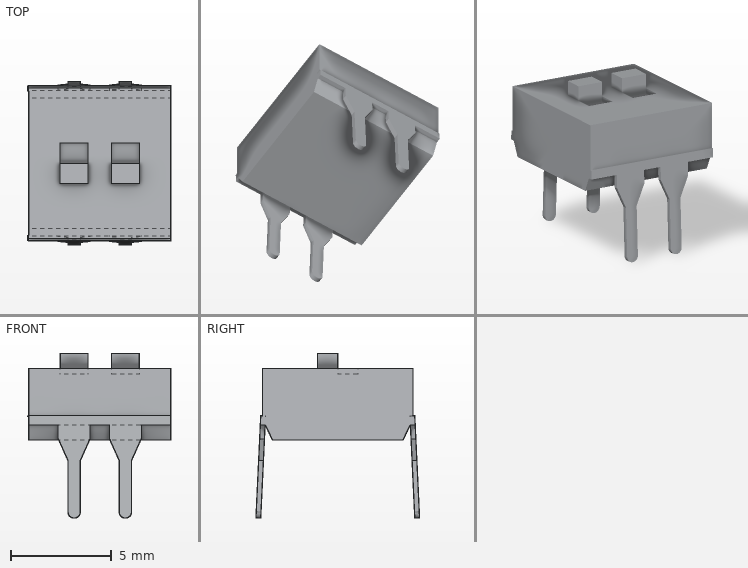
import cadquery as cq
import math


overall_depth = 8.13
pitch = 2.54
switch_count = 2

housing_width = 7.06
housing_depth = 7.47
housing_height = 3.55
floor_depth = 6.48
bevel_height = 1.03

slot_width = 1.38
slot_length = 2.03
slot_depth = 0.27
knob_length = slot_length / 2
knob_rise = 0.75

sheet_thickness = 0.25
lean_angle = 2.7
frame_length = 5.08
frame_top_z = 1.21
strip_height = 0.46
burr_reach = 0.05
burr_height = 0.02
shoulder_drop = 1.15
taper_drop = 2.22
shoulder_width = 1.58
pin_width = 0.62
frame_top_y = overall_depth / 2 - frame_length * math.sin(math.radians(lean_angle))

row_start = -pitch * (switch_count - 1) / 2
row_positions = [row_start + pitch * i for i in range(switch_count)]


def block(x_centre, y_min, z_min, width, depth, height):
    """Box centred in X, growing in +Y and +Z from its lower front edge."""
    return cq.Workplane("XY").box(width, depth, height, centered=(True, False, False)).translate(
        (x_centre, y_min, z_min)
    )


def make_housing():
    """Rectangular body with a bevel along both lower long edges."""
    half_depth = housing_depth / 2
    half_floor = floor_depth / 2
    section = (
        cq.Workplane("YZ")
        .moveTo(-half_floor, 0)
        .lineTo(half_floor, 0)
        .lineTo(half_depth, bevel_height)
        .lineTo(half_depth, housing_height)
        .lineTo(-half_depth, housing_height)
        .lineTo(-half_depth, bevel_height)
        .close()
    )
    return section.extrude(housing_width / 2, both=True)


def make_slot(x):
    """Shallow pocket in the housing top."""
    return block(x, -slot_length / 2, housing_height - slot_depth, slot_width, slot_length, slot_depth)


def make_knob(x):
    """Slide actuator standing on the slot floor."""
    floor_z = housing_height - slot_depth
    return block(x, -slot_length / 2, floor_z, slot_width, knob_length, slot_depth + knob_rise)


def make_pin(x):
    """Upright terminal hanging from the frame top: shoulder, taper and round-ended pin."""
    half_shoulder = shoulder_width / 2
    half_pin = pin_width / 2
    tip_start = frame_length - half_pin
    outline = (
        cq.Workplane("XZ")
        .moveTo(x - half_shoulder, 0)
        .lineTo(x - half_shoulder, -shoulder_drop)
        .lineTo(x - half_pin, -taper_drop)
        .lineTo(x - half_pin, -tip_start)
        .threePointArc((x, -frame_length), (x + half_pin, -tip_start))
        .lineTo(x + half_pin, -taper_drop)
        .lineTo(x + half_shoulder, -shoulder_drop)
        .lineTo(x + half_shoulder, 0)
        .close()
    )
    return outline.extrude(-sheet_thickness)


def make_burr():
    """Thin pointed corner at the top of the strip's -X end."""
    strip_end = -housing_width / 2
    outline = (
        cq.Workplane("XZ")
        .moveTo(strip_end, 0)
        .lineTo(strip_end - burr_reach, -burr_height)
        .lineTo(strip_end, -burr_height)
        .close()
    )
    return outline.extrude(-sheet_thickness)


def make_front_frame():
    """Terminal frame on the -Y side, hinged outwards about its top outer edge."""
    strip = block(0, 0, -strip_height, housing_width, sheet_thickness, strip_height)
    frame = strip.union(make_burr())
    for x in row_positions:
        frame = frame.union(make_pin(x))
    frame = frame.rotate((0, 0, 0), (1, 0, 0), -lean_angle)
    return frame.translate((0, -frame_top_y, frame_top_z))


housing = make_housing()
for switch_x in row_positions:
    housing = housing.cut(make_slot(switch_x)).union(make_knob(switch_x))

front_frame = make_front_frame()
back_frame = front_frame.mirror("XZ")
result = housing.union(front_frame).union(back_frame)